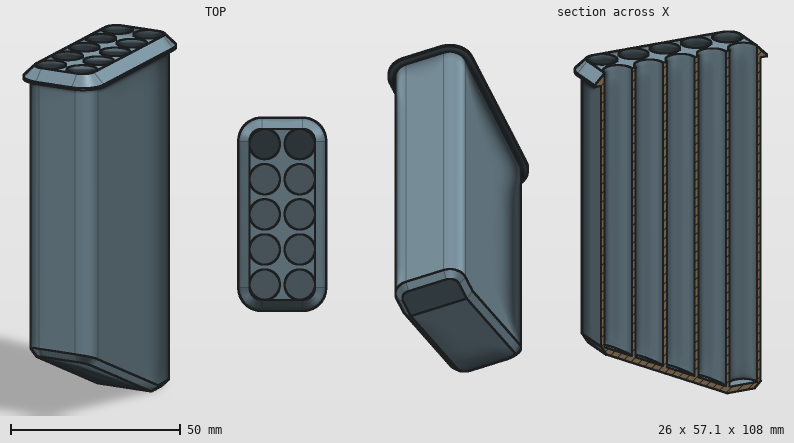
import cadquery as cq
import math

height = 108.0
rim_width = 26.0
rim_length = 57.1
body_width = 21.9
rim_edge = 0.6
rim_bevel = 3.3
body_corner_radius = 5.0
slope_angle = math.radians(25.4)
slope_start_y = 15.4
bottom_chamfer = 2.0
hole_diameter = 9.0
hole_pitch = 10.4
hole_columns = 2
hole_rows = 5
floor_thickness = 2.0

rim_overhang = (rim_width - body_width) / 2
body_length = rim_length - 2 * rim_overhang
rim_corner_radius = body_corner_radius + rim_overhang
rim_base_z = height - rim_edge - rim_bevel


def rounded_block(width, length, block_height, corner_radius):
    """Block standing on Z = 0 with rounded vertical edges."""
    block = cq.Workplane("XY").rect(width, length).extrude(block_height)
    return block.edges("|Z").fillet(corner_radius)


def space_above_floor(offset):
    """Space above the bent bottom surface, raised by a distance normal to it."""
    bend_y = slope_start_y + offset * math.tan(slope_angle / 2)
    front_z = offset + (bend_y + rim_length) * math.tan(slope_angle)
    profile = [
        (rim_length, offset),
        (bend_y, offset),
        (-rim_length, front_z),
        (-rim_length, height),
        (rim_length, height),
    ]
    space = cq.Workplane("YZ").polyline(profile).close()
    return space.extrude(rim_width, both=True)


def make_body():
    """Rounded body with a bent bottom, chamfered all round underneath."""
    body = rounded_block(body_width, body_length, rim_base_z, body_corner_radius)
    body = body.intersect(space_above_floor(0))
    sloped_face = body.faces(cq.selectors.DirectionMinMaxSelector(
        cq.Vector(0, -math.sin(slope_angle), -math.cos(slope_angle)), True))
    flat_face = body.faces("<Z")
    bend = body.faces("<Z").edges("<Y").val()
    outline = [
        edge
        for edge in sloped_face.edges().vals() + flat_face.edges().vals()
        if not edge.isSame(bend)
    ]
    return body.newObject(outline).chamfer(bottom_chamfer)


def make_rim():
    """Overhanging top rim with a bevelled upper edge."""
    rim = rounded_block(rim_width, rim_length, height - rim_base_z, rim_corner_radius)
    rim = rim.faces(">Z").edges().chamfer(rim_bevel)
    return rim.translate((0, 0, rim_base_z))


def make_holes():
    """Grid of deep holes whose floors run parallel to the bottom."""
    holes = (
        cq.Workplane("XY")
        .rarray(hole_pitch, hole_pitch, hole_columns, hole_rows)
        .circle(hole_diameter / 2)
        .extrude(height)
    )
    return holes.intersect(space_above_floor(floor_thickness))


result = make_body().union(make_rim()).cut(make_holes())